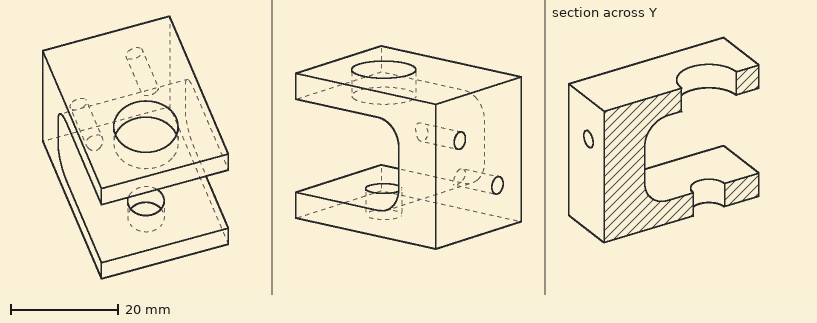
import cadquery as cq

length = 34.0
width = 25.0
height = 28.0

arm_thickness = 5.0
web_thickness = 9.0
slot_corner_radius = 5.0

pin_axis_x = 23.0
upper_hole_diameter = 12.0
lower_hole_diameter = 6.8

mount_hole_diameter = 3.3
mount_hole_offset = 5.5

slot_length = length - web_thickness
slot_height = height - 2 * arm_thickness
mid_height = height / 2


def make_block():
    """Block with its -X face on X = 0, centred on Y, standing on Z = 0."""
    return cq.Workplane("XY").box(length, width, height, centered=(False, True, False))


def make_slot():
    """Full-width slot between the arms, rounded where it meets the web."""
    return (
        cq.Workplane("XY")
        .box(slot_length, width, slot_height, centered=(False, True, False))
        .edges("|Y and <X")
        .fillet(slot_corner_radius)
        .translate((web_thickness, 0, arm_thickness))
    )


def make_pin_hole(diameter, arm_bottom):
    """Vertical hole through the arm whose underside is at arm_bottom."""
    return (
        cq.Workplane("XY", origin=(pin_axis_x, 0, arm_bottom))
        .circle(diameter / 2)
        .extrude(arm_thickness)
    )


def make_mount_holes():
    """Two holes along X, long enough to clear the web and its rounded corners."""
    drill_length = web_thickness + slot_corner_radius
    return (
        cq.Workplane("YZ", origin=(0, 0, mid_height))
        .pushPoints([(side * mount_hole_offset, side * mount_hole_offset) for side in (-1, 1)])
        .circle(mount_hole_diameter / 2)
        .extrude(drill_length)
    )


result = (
    make_block()
    .cut(make_slot())
    .cut(make_pin_hole(lower_hole_diameter, 0))
    .cut(make_pin_hole(upper_hole_diameter, height - arm_thickness))
    .cut(make_mount_holes())
)